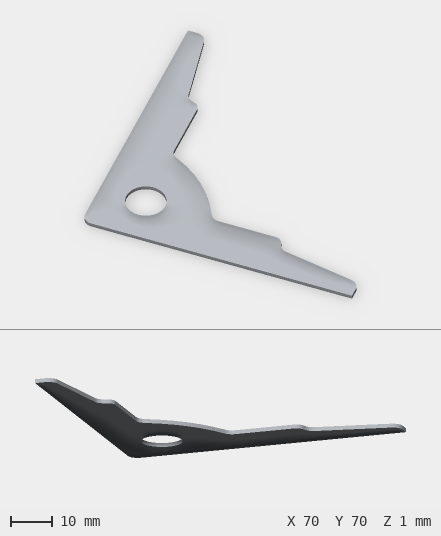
import cadquery as cq
import math

leg_length = 70.0
thickness = 1.0
corner_radius = 2.5

leg_width = 12.0
hole_diameter = 10.0

web_radius = 31.4
web_fillet = 2.5

step_start = 47.05
step_angle = 70.0
step_top_radius = 2.0
step_bottom_radius = 2.4

tip_width = 4.6
taper_angle = 10.0
tip_radius = 2.5

step_slope = math.tan(math.radians(step_angle))
taper_slope = math.tan(math.radians(taper_angle))
taper_height_at_step = tip_width + taper_slope * (leg_length - step_start)
foot_offset = (leg_width - taper_height_at_step) / (step_slope - taper_slope)
foot_x = step_start + foot_offset
foot_y = leg_width - step_slope * foot_offset

web_end = math.sqrt(web_radius**2 - leg_width**2)
web_middle = web_radius / math.sqrt(2)

leg_corners = [
    ((leg_length, tip_width), tip_radius),
    ((foot_x, foot_y), step_bottom_radius),
    ((step_start, leg_width), step_top_radius),
    ((web_end, leg_width), web_fillet),
]


def mirrored(point):
    """Swap X and Y to carry a point from one leg to the other."""
    return (point[1], point[0])


def round_corner(body, point, radius):
    """Round the upright edge that stands at the given point."""
    half_size = 0.1
    edge = cq.selectors.BoxSelector(
        (point[0] - half_size, point[1] - half_size, -thickness),
        (point[0] + half_size, point[1] + half_size, 2 * thickness),
    )
    return body.edges("|Z").edges(edge).fillet(radius)


x_leg = [point for point, radius in leg_corners]
y_leg = [mirrored(point) for point in reversed(x_leg)]
plate = (
    cq.Workplane("XY")
    .polyline([(0, 0), (leg_length, 0)] + x_leg)
    .threePointArc((web_middle, web_middle), y_leg[0])
)
for point in y_leg[1:]:
    plate = plate.lineTo(*point)
plate = plate.lineTo(0, leg_length).close().extrude(thickness)

plate = round_corner(plate, (0, 0), corner_radius)
for point, radius in leg_corners:
    plate = round_corner(plate, point, radius)
    plate = round_corner(plate, mirrored(point), radius)

hole = (
    cq.Workplane("XY")
    .center(leg_width, leg_width)
    .circle(hole_diameter / 2)
    .extrude(thickness)
)
result = plate.cut(hole)